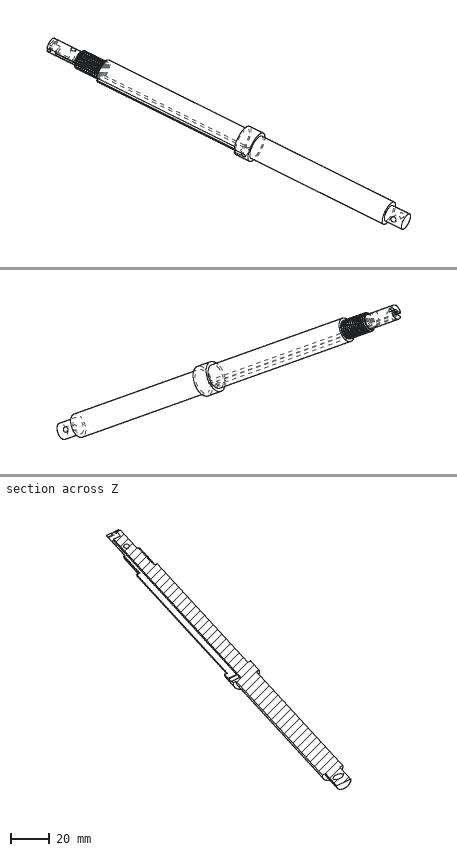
import cadquery as cq

length = 220.0
tip_diameter = 8.0
tip_length = 17.4
thread_diameter = 10.3
body_start = 32.5
body_diameter = 13.0
body_end = 209.5
journal_diameter = 9.0

collar_diameter = 16.5
collar_start = 118.8
collar_end = 127.4

thread_turns = 12
thread_depth = 0.77
thread_opening = 0.8
thread_overcut = 0.2
thread_pitch = (body_start - tip_length) / thread_turns

groove_width = 2.0
groove_floor_y = -2.9
groove_end = 123.0
groove_hole_diameter = 2.0
groove_hole_x = 124.7

slot_depth = 1.5
socket_depth = 5.0
socket_width = 2.9

tip_hole_diameter = 2.6
tip_hole_x = 13.2
tip_hole_tilt = 20.0
journal_hole_diameter = 2.9
journal_hole_x = 214.7
journal_hole_tilt = 30.0


def cylinder(start, end, diameter):
    """Round section along X between two stations."""
    return cq.Workplane("YZ", origin=(start, 0, 0)).circle(diameter / 2).extrude(end - start)


def box_between(x_range, y_range, width):
    """Box spanning the given X and Y ranges, centred on Z = 0."""
    return (
        cq.Workplane("XY")
        .box(x_range[1] - x_range[0], y_range[1] - y_range[0], width, centered=(False, False, True))
        .translate((x_range[0], y_range[0], 0))
    )


def threaded_section():
    """Threaded length with a lead-in chamfer and a V groove swept along a helix."""
    crest = thread_diameter / 2
    root = crest - thread_depth
    outer = crest + thread_overcut
    half_opening = thread_pitch * thread_opening / 2
    thread_length = body_start - tip_length
    blank = cq.Workplane("XY").circle(crest).extrude(thread_length).faces("<Z").chamfer(thread_depth)
    helix = cq.Wire.makeHelix(thread_pitch, thread_length, root)
    groove = (
        cq.Workplane("XZ")
        .moveTo(root, 0)
        .lineTo(outer, half_opening)
        .lineTo(outer, -half_opening)
        .close()
        .sweep(cq.Workplane(obj=helix), isFrenet=True)
    )
    return blank.cut(groove).rotate((0, 0, 0), (0, 1, 0), 90).translate((tip_length, 0, 0))


def shaft():
    """Stepped shaft with its thread and collar."""
    return (
        cylinder(0, tip_length, tip_diameter)
        .union(threaded_section())
        .union(cylinder(body_start, body_end, body_diameter))
        .union(cylinder(body_end, length, journal_diameter))
        .union(cylinder(collar_start, collar_end, collar_diameter))
    )


def long_groove():
    """Groove from the tip into the collar, with a blind hole beyond its end."""
    outside_y = -collar_diameter / 2
    groove = box_between((0, groove_end), (outside_y, groove_floor_y), groove_width)
    hole = (
        cq.Workplane("XZ", origin=(groove_hole_x, groove_floor_y, 0))
        .circle(groove_hole_diameter / 2)
        .extrude(groove_floor_y - outside_y)
    )
    return groove.union(hole)


def tip_cuts():
    """Screwdriver slot, axial bore and the side window that opens into the bore."""
    tip_radius = tip_diameter / 2
    slot = box_between((0, slot_depth), (-tip_radius, tip_radius), groove_width)
    bore = cylinder(0, socket_depth, socket_width)
    window = box_between((slot_depth, socket_depth), (-tip_radius, 0), socket_width)
    return slot.union(bore).union(window)


def cross_holes():
    """Through holes across the tip and the journal, each tilted about X."""
    tip_hole = (
        cq.Workplane("XY", origin=(tip_hole_x, 0, 0))
        .circle(tip_hole_diameter / 2)
        .extrude(tip_diameter, both=True)
        .rotate((0, 0, 0), (1, 0, 0), -tip_hole_tilt)
    )
    journal_hole = (
        cq.Workplane("XZ", origin=(journal_hole_x, 0, 0))
        .circle(journal_hole_diameter / 2)
        .extrude(journal_diameter, both=True)
        .rotate((0, 0, 0), (1, 0, 0), -journal_hole_tilt)
    )
    return tip_hole.union(journal_hole)


result = shaft().cut(long_groove()).cut(tip_cuts()).cut(cross_holes())